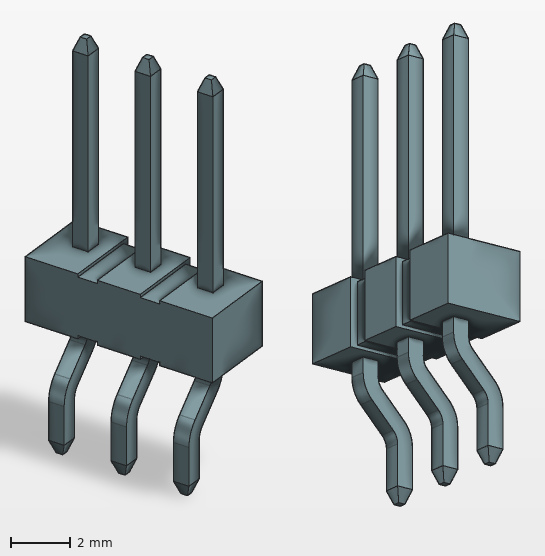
import cadquery as cq
import math


pin_count = 3
header_length = 7.62
pitch = header_length / pin_count
total_height = 15.49

housing_depth = 3.05
housing_height = 2.52
housing_bottom = 4.83
housing_top = housing_bottom + housing_height
notch_width = 0.79
notch_depth = 0.12
notch_back_depth = 0.28

pin_width = 0.64
tip_height = 0.51
tip_width = 0.26
upper_tip_base = total_height - tip_height
pin_y = 1.78
tail_y = pin_width / 2

bend_angle = math.radians(45)
bend_inner_radius = pin_width
bend_radius = bend_inner_radius + pin_width / 2
bend_start = housing_bottom - 0.55


def block(size_x, y_range, z_range, center_x=0):
    """Box centred at center_x and spanning the given Y and Z ranges."""
    y_min, y_max = y_range
    z_min, z_max = z_range
    box = cq.Workplane("XY").box(size_x, y_max - y_min, z_max - z_min, centered=(True, False, False))
    return box.translate((center_x, y_min, z_min))


def make_housing_block():
    """Block with a notch in the top, bottom and back faces between each pair of pins."""
    full_y = (0, housing_depth)
    full_z = (housing_bottom, housing_top)
    housing_block = block(header_length, full_y, full_z)
    for gap in range(1, pin_count):
        gap_x = gap * pitch - header_length / 2
        top_notch = block(notch_width, full_y, (housing_top - notch_depth, housing_top), gap_x)
        bottom_notch = block(notch_width, full_y, (housing_bottom, housing_bottom + notch_depth), gap_x)
        back_notch = block(notch_width, (housing_depth - notch_back_depth, housing_depth), full_z, gap_x)
        housing_block = housing_block.cut(top_notch).cut(bottom_notch).cut(back_notch)
    return housing_block


def make_tip(y, z, direction):
    """Square taper starting at height z, pointing up (direction 1) or down (direction -1)."""
    base = cq.Workplane("XY", origin=(0, y, z)).rect(pin_width, pin_width)
    return base.workplane(offset=direction * tip_height).rect(tip_width, tip_width).loft(ruled=True)


def arc_offset(angle):
    """Forward shift and drop along the axis after bending through the angle."""
    return bend_radius * (1 - math.cos(angle)), bend_radius * math.sin(angle)


def make_pin_axis():
    """Axis of the shank: straight, bent forward, sloping, bent back, straight."""
    shift, drop = arc_offset(bend_angle)
    mid_shift, mid_drop = arc_offset(bend_angle / 2)
    slope_drop = (pin_y - tail_y - 2 * shift) / math.tan(bend_angle)
    bend_end = bend_start - 2 * drop - slope_drop
    return (
        cq.Workplane("YZ")
        .moveTo(pin_y, upper_tip_base)
        .lineTo(pin_y, bend_start)
        .threePointArc((pin_y - mid_shift, bend_start - mid_drop), (pin_y - shift, bend_start - drop))
        .lineTo(tail_y + shift, bend_end + drop)
        .threePointArc((tail_y + mid_shift, bend_end + mid_drop), (tail_y, bend_end))
        .lineTo(tail_y, tip_height)
    )


def make_pin(x):
    """Complete pin at position x along the row."""
    section = cq.Workplane("XY", origin=(0, pin_y, upper_tip_base)).rect(pin_width, pin_width)
    shank = section.sweep(make_pin_axis())
    upper_tip = make_tip(pin_y, upper_tip_base, 1)
    tail_tip = make_tip(tail_y, tip_height, -1)
    return shank.union(upper_tip).union(tail_tip).translate((x, 0, 0))


outer_pins = [make_pin(x) for x in (-pitch, pitch)]

housing = make_housing_block().union(make_pin(0))
for outer_pin in outer_pins:
    housing = housing.cut(outer_pin)

pin_solids = [outer_pin.solids().val() for outer_pin in outer_pins]
result = cq.Compound.makeCompound([housing.solids().val(), *pin_solids])